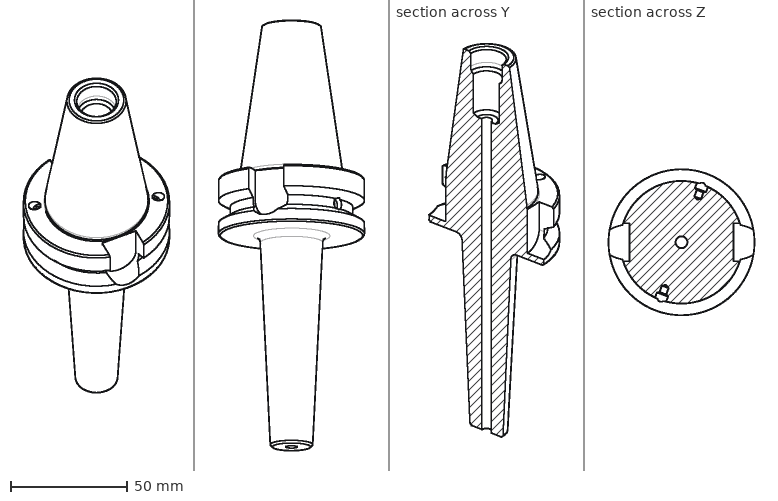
import cadquery as cq
import math


GAUGE_RADIUS = 44.45 / 2
TAPER_LENGTH = 65.4
TAPER_RATE = 7 / 24
TOP_CHAMFER_WIDTH = 0.9
TOP_CHAMFER_HEIGHT = 0.5

COLLAR_FILLET = 0.5

FLANGE_RADIUS = 31.5
FLANGE_TOP_Z = -2.0
FLANGE_BOTTOM_Z = -27.0
FLANGE_CHAMFER = 0.8
GROOVE_RADIUS = 26.5
GROOVE_CENTRE_Z = -16.6
GROOVE_FLOOR_WIDTH = 4.2
GROOVE_WALL_ANGLE = 30.0

SLOT_WIDTH = 16.1
SLOT_FLOOR_X = 22.5
SLOT_DEPTH = 21.7

NOSE_TIP_Z = -120.0
NOSE_ROOT_RADIUS = 13.5
NOSE_TIP_RADIUS = 9.2
NOSE_FILLET = 3.0
NOSE_TIP_CHAMFER = 1.0

BORE_MOUTH_RADIUS = 9.5
COUNTERBORE_RADIUS = 8.5
COUNTERBORE_DEPTH = 7.2
LEAD_IN_RADIUS = 8.3
LEAD_IN_DEPTH = 9.4
THREAD_RADIUS = 7.0
THREAD_DEPTH = 30.0
BORE_FLOOR_RADIUS = 5.0
COOLANT_RADIUS = 2.5
DRILL_TIP_ANGLE = 118.0

FLANGE_HOLE_ANGLES = (70.0, 250.0)
FACE_HOLE_PITCH_RADIUS = 26.8
FACE_HOLE_TILT = 30.0
FACE_HOLE_RADIUS = 2.25
GROOVE_HOLE_RADIUS = 2.5
FLANGE_HOLE_DEPTH = 2.5
PILOT_RADIUS = 1.5
PILOT_DEPTH = 6.0
HOLE_OVERRUN = 2.0

ARC_MID_OFFSET = 1 - math.sqrt(0.5)


def drill_tip_height(radius):
    """Height of a drill-point cone of the given base radius."""
    return radius / math.tan(math.radians(DRILL_TIP_ANGLE / 2))


def revolve_profile(profile):
    """Turn a closed (radius, z) profile about the Z axis."""
    return profile.close().revolve(360, (0, 0, 0), (0, 1, 0))


def holder_body():
    """Taper, flange and nose as one turned solid."""
    top_radius = GAUGE_RADIUS - TAPER_RATE * TAPER_LENGTH / 2
    chamfer_start_z = TAPER_LENGTH - TOP_CHAMFER_HEIGHT
    chamfer_start_radius = GAUGE_RADIUS - TAPER_RATE * chamfer_start_z / 2
    wall_height = (FLANGE_RADIUS - GROOVE_RADIUS) * math.tan(math.radians(GROOVE_WALL_ANGLE))
    groove_top_z = GROOVE_CENTRE_Z + GROOVE_FLOOR_WIDTH / 2
    groove_bottom_z = GROOVE_CENTRE_Z - GROOVE_FLOOR_WIDTH / 2
    fillet_end_z = FLANGE_BOTTOM_Z - NOSE_FILLET
    nose_fillet_mid = NOSE_FILLET * ARC_MID_OFFSET
    collar_fillet_mid = COLLAR_FILLET * ARC_MID_OFFSET
    profile = (
        cq.Workplane("XZ")
        .moveTo(0, TAPER_LENGTH)
        .lineTo(top_radius - TOP_CHAMFER_WIDTH, TAPER_LENGTH)
        .lineTo(chamfer_start_radius, chamfer_start_z)
        .lineTo(GAUGE_RADIUS, 0)
        .lineTo(GAUGE_RADIUS, FLANGE_TOP_Z + COLLAR_FILLET)
        .threePointArc(
            (GAUGE_RADIUS + collar_fillet_mid, FLANGE_TOP_Z + collar_fillet_mid),
            (GAUGE_RADIUS + COLLAR_FILLET, FLANGE_TOP_Z),
        )
        .lineTo(FLANGE_RADIUS - FLANGE_CHAMFER, FLANGE_TOP_Z)
        .lineTo(FLANGE_RADIUS, FLANGE_TOP_Z - FLANGE_CHAMFER)
        .lineTo(FLANGE_RADIUS, groove_top_z + wall_height)
        .lineTo(GROOVE_RADIUS, groove_top_z)
        .lineTo(GROOVE_RADIUS, groove_bottom_z)
        .lineTo(FLANGE_RADIUS, groove_bottom_z - wall_height)
        .lineTo(FLANGE_RADIUS, FLANGE_BOTTOM_Z + FLANGE_CHAMFER)
        .lineTo(FLANGE_RADIUS - FLANGE_CHAMFER, FLANGE_BOTTOM_Z)
        .lineTo(NOSE_ROOT_RADIUS + NOSE_FILLET, FLANGE_BOTTOM_Z)
        .threePointArc(
            (NOSE_ROOT_RADIUS + nose_fillet_mid, FLANGE_BOTTOM_Z - nose_fillet_mid),
            (NOSE_ROOT_RADIUS, fillet_end_z),
        )
        .lineTo(NOSE_TIP_RADIUS, NOSE_TIP_Z + NOSE_TIP_CHAMFER)
        .lineTo(NOSE_TIP_RADIUS - NOSE_TIP_CHAMFER, NOSE_TIP_Z)
        .lineTo(0, NOSE_TIP_Z)
    )
    return revolve_profile(profile)


def axial_bore():
    """Pull-stud bore from the top, running into a coolant hole through the nose."""
    mouth_depth = BORE_MOUTH_RADIUS - COUNTERBORE_RADIUS
    counterbore_z = TAPER_LENGTH - COUNTERBORE_DEPTH
    lead_in_z = TAPER_LENGTH - LEAD_IN_DEPTH
    thread_start_z = lead_in_z - (LEAD_IN_RADIUS - THREAD_RADIUS)
    thread_end_z = TAPER_LENGTH - THREAD_DEPTH
    floor_z = thread_end_z - drill_tip_height(THREAD_RADIUS - BORE_FLOOR_RADIUS)
    profile = (
        cq.Workplane("XZ")
        .moveTo(0, TAPER_LENGTH)
        .lineTo(BORE_MOUTH_RADIUS, TAPER_LENGTH)
        .lineTo(COUNTERBORE_RADIUS, TAPER_LENGTH - mouth_depth)
        .lineTo(COUNTERBORE_RADIUS, counterbore_z)
        .lineTo(LEAD_IN_RADIUS, lead_in_z)
        .lineTo(THREAD_RADIUS, thread_start_z)
        .lineTo(THREAD_RADIUS, thread_end_z)
        .lineTo(BORE_FLOOR_RADIUS, floor_z)
        .lineTo(COOLANT_RADIUS, floor_z)
        .lineTo(COOLANT_RADIUS, NOSE_TIP_Z)
        .lineTo(0, NOSE_TIP_Z)
    )
    return revolve_profile(profile)


def drive_slots():
    """Two opposite round-ended slots, open at the top of the flange."""
    slot_radius = SLOT_WIDTH / 2
    slot_end_z = FLANGE_TOP_Z - SLOT_DEPTH + slot_radius
    slot = (
        cq.Workplane("YZ", origin=(SLOT_FLOOR_X, 0, 0))
        .moveTo(-slot_radius, 0)
        .lineTo(-slot_radius, slot_end_z)
        .threePointArc((0, slot_end_z - slot_radius), (slot_radius, slot_end_z))
        .lineTo(slot_radius, 0)
        .close()
        .extrude(FLANGE_RADIUS - SLOT_FLOOR_X)
    )
    return slot.union(slot.mirror("YZ"))


def stepped_blind_hole(radius):
    """Hole going down from the origin, narrowing to a pilot hole with a drill point."""
    step_end_z = -FLANGE_HOLE_DEPTH - drill_tip_height(radius - PILOT_RADIUS)
    profile = (
        cq.Workplane("XZ")
        .moveTo(0, HOLE_OVERRUN)
        .lineTo(radius, HOLE_OVERRUN)
        .lineTo(radius, -FLANGE_HOLE_DEPTH)
        .lineTo(PILOT_RADIUS, step_end_z)
        .lineTo(PILOT_RADIUS, -PILOT_DEPTH)
        .lineTo(0, -PILOT_DEPTH - drill_tip_height(PILOT_RADIUS))
    )
    return revolve_profile(profile)


def flange_holes():
    """Inward-tilted holes in the flange's top face and radial holes in the groove floor."""
    face_hole = (
        stepped_blind_hole(FACE_HOLE_RADIUS)
        .rotate((0, 0, 0), (0, 1, 0), FACE_HOLE_TILT)
        .translate((FACE_HOLE_PITCH_RADIUS, 0, FLANGE_TOP_Z))
    )
    groove_hole = (
        stepped_blind_hole(GROOVE_HOLE_RADIUS)
        .rotate((0, 0, 0), (0, 1, 0), 90)
        .translate((GROOVE_RADIUS, 0, GROOVE_CENTRE_Z))
    )
    pair = face_hole.union(groove_hole)
    holes = cq.Workplane()
    for angle in FLANGE_HOLE_ANGLES:
        holes = holes.add(pair.rotate((0, 0, 0), (0, 0, 1), angle))
    return holes.combine()


result = holder_body().cut(axial_bore()).cut(drive_slots()).cut(flange_holes())